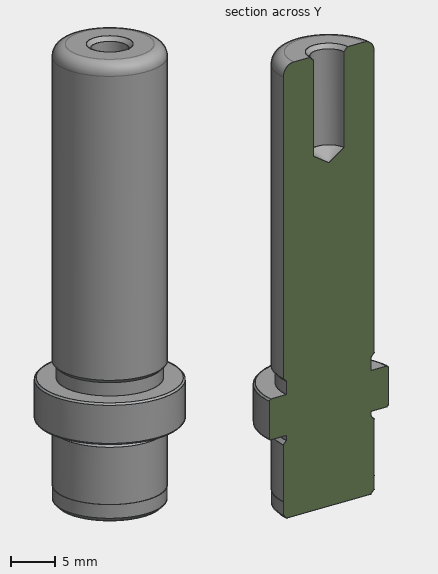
import cadquery as cq
import math

length = 55.0
shaft_radius = 6.5
flange_diameter = 17.0
flange_radius = flange_diameter / 2
neck_radius = 6.05
lead_clearance = 0.03
lead_radius = shaft_radius - lead_clearance

lead_top = 2.15
lower_shaft_top = 9.0
flange_bottom = 10.0
flange_top = 15.0
upper_neck_top = 16.6

neck_step = shaft_radius - neck_radius
lower_end_chamfer = 0.5
flange_chamfer = 0.2
top_fillet = 1.5

hole_radius = 2.15
hole_mouth_radius = 2.65
hole_depth = 12.1
drill_point_angle = 118.0


def make_body():
    """Revolve the stepped outline about the Z axis."""
    flange_face_radius = flange_radius - flange_chamfer
    fillet_start = length - top_fillet
    fillet_center_radius = shaft_radius - top_fillet
    diagonal = top_fillet * math.sqrt(0.5)
    fillet_middle = (fillet_center_radius + diagonal, fillet_start + diagonal)
    return (
        cq.Workplane("XZ")
        .moveTo(0, 0)
        .lineTo(lead_radius - lower_end_chamfer, 0)
        .lineTo(lead_radius, lower_end_chamfer)
        .lineTo(lead_radius, lead_top)
        .lineTo(shaft_radius, lead_top)
        .lineTo(shaft_radius, lower_shaft_top)
        .lineTo(neck_radius, lower_shaft_top + neck_step)
        .lineTo(neck_radius, flange_bottom)
        .lineTo(flange_face_radius, flange_bottom)
        .lineTo(flange_radius, flange_bottom + flange_chamfer)
        .lineTo(flange_radius, flange_top - flange_chamfer)
        .lineTo(flange_face_radius, flange_top)
        .lineTo(neck_radius, flange_top)
        .lineTo(neck_radius, upper_neck_top)
        .lineTo(shaft_radius, upper_neck_top + neck_step)
        .lineTo(shaft_radius, fillet_start)
        .threePointArc(fillet_middle, (fillet_center_radius, length))
        .lineTo(0, length)
        .close()
        .revolve(360, (0, 0, 0), (0, 1, 0))
    )


def make_hole():
    """Drilled hole with a countersunk mouth and a conical bottom."""
    bore_bottom = length - hole_depth
    cone_depth = hole_radius / math.tan(math.radians(drill_point_angle / 2))
    mouth_depth = hole_mouth_radius - hole_radius
    return (
        cq.Workplane("XZ")
        .moveTo(0, bore_bottom - cone_depth)
        .lineTo(hole_radius, bore_bottom)
        .lineTo(hole_radius, length - mouth_depth)
        .lineTo(hole_mouth_radius, length)
        .lineTo(0, length)
        .close()
        .revolve(360, (0, 0, 0), (0, 1, 0))
    )


result = make_body().cut(make_hole())